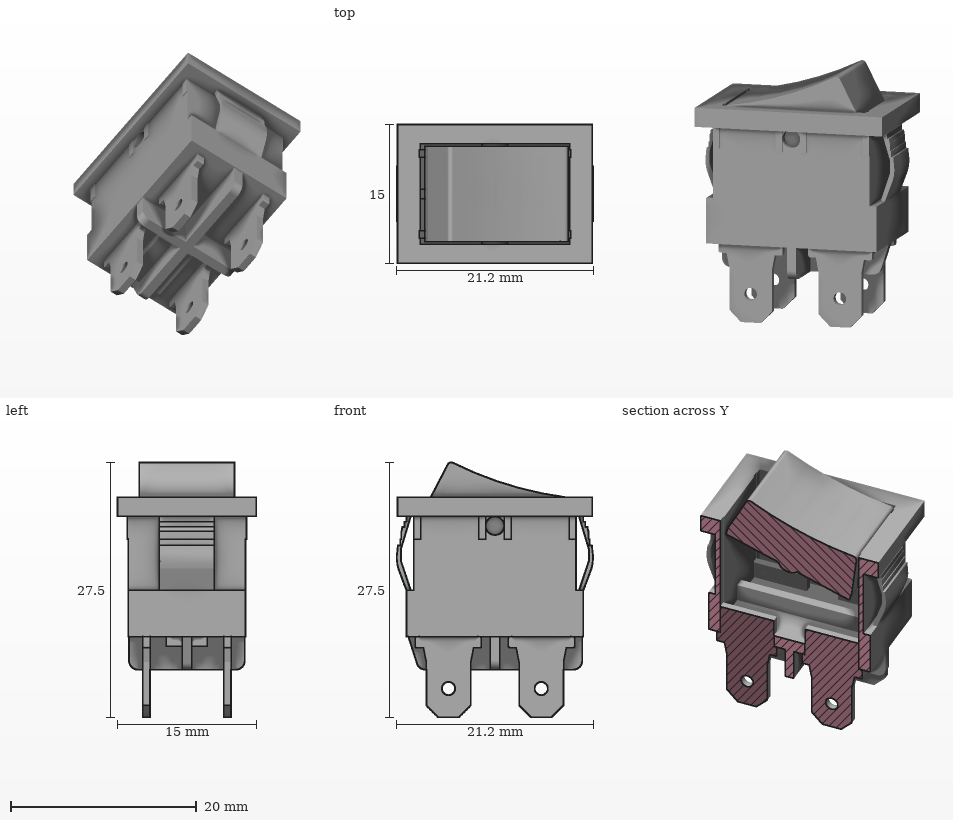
import cadquery as cq
import math


flange_x = 21.0
flange_y = 15.0
flange_top = 2.1
upper_x = 17.54
lower_x = 19.1
body_y = 12.68
ledge_z = -7.95
body_bottom = -12.94
opening_x = 16.1
opening_y = 10.84
floor_thickness = 1.5
floor_z = body_bottom + floor_thickness

rib_width = 0.76
rib_depth = 2.44
rib_height = 0.11
inner_rib_x = 1.37
outer_rib_x = upper_x / 2 - rib_width / 2

clip_width = 5.93
clip_root_inner = 9.06
clip_flat_inner = 10.12
clip_flat_top = -3.5
clip_flat_bottom = -4.8
clip_bulge = 10.59
clip_bulge_z = -4.5
clip_bulge_top = (10.52, -3.65)
clip_bulge_bottom = (10.42, -5.62)
clip_steps = [
    (-0.56, 9.76, 9.76),
    (-1.11, 9.99, 10.07),
    (-1.58, 10.11, 10.11),
    (-2.43, 10.22, 10.22),
    (-3.1, 10.47, clip_bulge_top[0]),
]

barrier_thickness = 1.04
barrier_bottom = -16.53
barrier_y = 12.5
barrier_right = 9.43
barrier_left = -9.34
barrier_left_foot = -8.19
barrier_radius = 1.0

boss_x = 6.0
boss_y = 4.42
boss_height = 1.03

terminal_x = 5.0
terminal_y = 4.37
terminal_thickness = 0.8
shoulder_width = 7.15
shoulder_height = 1.23
shoulder_offset = 0.03
shoulder_radius = 0.2
neck_width = 5.4
neck_bottom = -15.7
blade_width = 4.8
blade_bottom = -21.67
blade_chamfer = 1.3
terminal_hole = 1.4
terminal_hole_z = -18.55
stem_outer_x = 8.16
stem_width = 2 * (stem_outer_x - terminal_x)
stem_height = 2.0
stem_top = floor_z + stem_height

pivot_z = -1.0
tilt = 17.05
rocker_y = 10.28
rocker_half_base = 7.64
rocker_base_w = -0.8
rocker_side_w = 0.27
rocker_corner_u = 6.73
rocker_corner_w = 5.25
rocker_centre_w = 4.65
rocker_edge_radius = 0.45
pivot_boss_d = 2.8
pivot_hole_d = 2.0
pivot_lead_in = 0.1


def block(x_size, y_size, z_low, z_high, x=0.0, y=0.0):
    """Upright box centred on (x, y) between two heights."""
    height = z_high - z_low
    return cq.Workplane("XY").box(x_size, y_size, height).translate((x, y, z_low + height / 2))


def extrude_y(outline, thickness, y=0.0):
    """Extrude a closed XZ outline symmetrically about the plane at y."""
    return outline.extrude(thickness).translate((0, y + thickness / 2, 0))


def right_clip():
    """Bowed spring clip with ratchet steps, from the flange down to the ledge."""
    step_ends = [z for z, _, _ in clip_steps[1:]] + [clip_bulge_top[1]]
    stepped_side = [(lower_x / 2, 0), (lower_x / 2, clip_steps[0][0])]
    for (z_high, x_high, x_low), z_low in zip(clip_steps, step_ends):
        stepped_side.append((x_high, z_high))
        stepped_side.append((x_low, z_low))
    outline = (
        cq.Workplane("XZ")
        .moveTo(clip_root_inner, 0)
        .polyline(stepped_side, includeCurrent=True)
        .threePointArc((clip_bulge, clip_bulge_z), clip_bulge_bottom)
        .lineTo(lower_x / 2, ledge_z)
        .lineTo(clip_root_inner, ledge_z)
        .lineTo(clip_flat_inner, clip_flat_bottom)
        .lineTo(clip_flat_inner, clip_flat_top)
        .close()
    )
    return extrude_y(outline, clip_width)


def barrier_along_x():
    """Barrier plate with one slanted end and rounded lower corners."""
    outline = (
        cq.Workplane("XZ")
        .moveTo(barrier_left, body_bottom)
        .lineTo(barrier_right, body_bottom)
        .lineTo(barrier_right, barrier_bottom)
        .lineTo(barrier_left_foot, barrier_bottom)
        .close()
    )
    return extrude_y(outline, barrier_thickness).faces("<Z").edges("|Y").fillet(barrier_radius)


def barrier_along_y():
    plate = block(barrier_thickness, barrier_y, barrier_bottom, body_bottom)
    return plate.faces("<Z").edges("|X").fillet(barrier_radius)


def terminal_places():
    return [(sx * terminal_x, sy * terminal_y) for sx in (-1, 1) for sy in (-1, 1)]


def terminal_stem(x, y, z_high):
    """Upper part of a terminal that passes through the housing floor."""
    return block(stem_width, terminal_thickness, body_bottom, z_high, x, y)


def make_housing():
    body = block(flange_x, flange_y, 0, flange_top)
    body = body.union(block(upper_x, body_y, ledge_z, 0))
    body = body.union(block(lower_x, body_y, body_bottom, ledge_z))
    for x in (-outer_rib_x, -inner_rib_x, inner_rib_x, outer_rib_x):
        body = body.union(block(rib_width, body_y + 2 * rib_height, -rib_depth, 0, x))
    clip = right_clip()
    body = body.union(clip).union(clip.mirror("YZ"))
    body = body.union(barrier_along_x()).union(barrier_along_y())
    body = body.union(block(boss_x, boss_y, body_bottom - boss_height, body_bottom, -terminal_x))

    body = body.cut(block(opening_x, opening_y, floor_z, flange_top))
    body = body.union(block(opening_x, barrier_thickness, floor_z, stem_top))
    pivot_hole = cq.Workplane("XZ").center(0, pivot_z).circle(pivot_hole_d / 2)
    body = body.cut(extrude_y(pivot_hole, flange_y))
    for x, y in terminal_places():
        body = body.cut(terminal_stem(x, y, flange_top))
    return body


def rocker_body():
    outline = (
        cq.Workplane("XZ")
        .moveTo(-rocker_half_base, rocker_base_w)
        .lineTo(-rocker_half_base, rocker_side_w)
        .lineTo(-rocker_corner_u, rocker_corner_w)
        .threePointArc((0, rocker_centre_w), (rocker_corner_u, rocker_corner_w))
        .lineTo(rocker_half_base, rocker_side_w)
        .lineTo(rocker_half_base, rocker_base_w)
        .close()
    )
    body = extrude_y(outline, rocker_y)
    return body.edges("|Y").edges(">Z").fillet(rocker_edge_radius)


def pivot_bosses():
    """Round bosses that fill the side gaps; the lower half of each end tapers for snapping in."""
    radius = pivot_boss_d / 2
    pin = extrude_y(cq.Workplane("XZ").circle(radius), opening_y)
    lead_in = (
        cq.Workplane("YZ")
        .moveTo(opening_y / 2, 0)
        .lineTo(opening_y / 2, -radius)
        .lineTo(opening_y / 2 - pivot_lead_in, -radius)
        .close()
        .extrude(radius, both=True)
    )
    return pin.cut(lead_in).cut(lead_in.mirror("XZ"))


def make_rocker():
    rocker = rocker_body().union(pivot_bosses())
    return rocker.rotate((0, 0, 0), (0, 1, 0), tilt).translate((0, 0, pivot_z))


def make_terminal(x, y):
    """Blade terminal with shoulder, tapered neck, chamfered tip and a hole."""
    side = math.copysign(1, x)
    shoulder_x = x + side * shoulder_offset
    shoulder_bottom = body_bottom - shoulder_height
    shoulder = block(shoulder_width, terminal_thickness, shoulder_bottom, body_bottom, shoulder_x, y)
    shoulder = shoulder.edges("|Y").fillet(shoulder_radius)
    half_blade = blade_width / 2
    half_tip = half_blade - blade_chamfer
    half_neck = neck_width / 2
    right_side = [
        (half_neck, body_bottom - shoulder_height / 2),
        (half_neck, shoulder_bottom),
        (half_blade, neck_bottom),
        (half_blade, blade_bottom + blade_chamfer),
        (half_tip, blade_bottom),
    ]
    left_side = [(-u, z) for u, z in reversed(right_side)]
    outline = cq.Workplane("XZ").polyline(right_side + left_side).close()
    blade = extrude_y(outline, terminal_thickness, y).translate((x, 0, 0))
    hole = cq.Workplane("XZ").center(x, terminal_hole_z).circle(terminal_hole / 2)
    blade = blade.cut(extrude_y(hole, 2 * terminal_thickness, y))
    return blade.union(shoulder).union(terminal_stem(x, y, stem_top))


housing = make_housing()
rocker = make_rocker()
terminals = [make_terminal(x, y) for x, y in terminal_places()]

result = cq.Compound.makeCompound([housing.val(), rocker.val(), *[terminal.val() for terminal in terminals]])